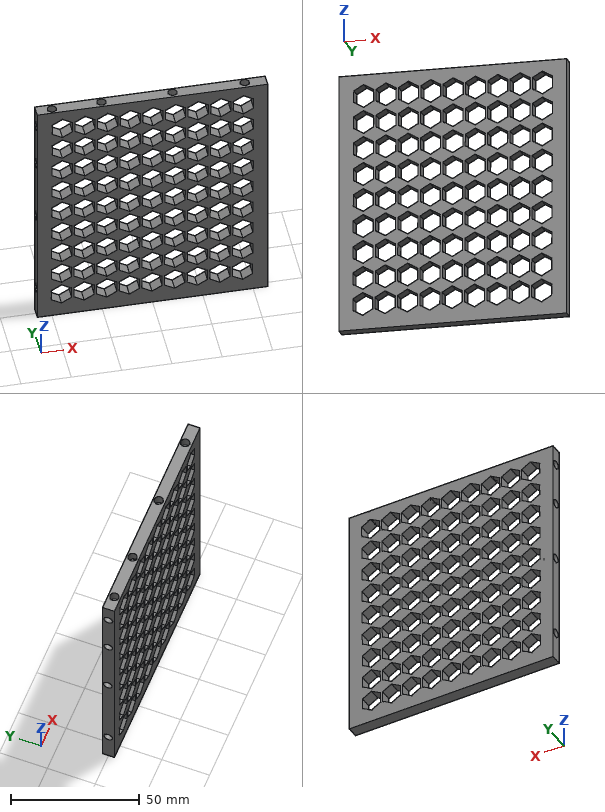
import cadquery as cq
import math

width = 91.6
thickness = 5.0
height = 104.0

columns = 9
rows = 9
grid_span_x = 72.0
grid_span_z = 85.0
grid_rise = 0.7
grid_tilt = 0.25
hex_across_flats = 8.0

hole_diameter = 3.5
hole_depth = 4.2
top_holes = [(-39.5, 0.0), (-19.8, 0.1), (8.5, 0.2), (37.2, 0.3)]
side_holes = [(0.1, 44.2), (0.1, 25.1), (0.3, -2.1), (0.1, -38.9)]


def make_windows():
    """Hexagonal prisms with corners pointing up and down, running through the plate along Y."""
    corner_radius = hex_across_flats / 2 / math.cos(math.radians(30))
    hexagon = cq.Sketch().regularPolygon(corner_radius, 6)
    pitch_x = grid_span_x / (columns - 1)
    pitch_z = grid_span_z / (rows - 1)
    return (
        cq.Workplane("XZ", origin=(0, 0, grid_rise))
        .transformed(rotate=(0, 0, -grid_tilt))
        .rarray(pitch_x, pitch_z, columns, rows)
        .placeSketch(hexagon)
        .extrude(thickness, both=True)
    )


def make_edge_holes(edge_plane, centers, depth):
    """Flat-bottomed holes sunk from edge_plane; the sign of depth picks the side of the plane."""
    return edge_plane.pushPoints(centers).circle(hole_diameter / 2).extrude(depth)


top_edge = cq.Workplane("XY", origin=(0, 0, height / 2))
left_edge = cq.Workplane("YZ", origin=(-width / 2, 0, 0))

plate = cq.Workplane("XY").box(width, thickness, height)
result = (
    plate.cut(make_windows())
    .cut(make_edge_holes(top_edge, top_holes, -hole_depth))
    .cut(make_edge_holes(left_edge, side_holes, hole_depth))
)